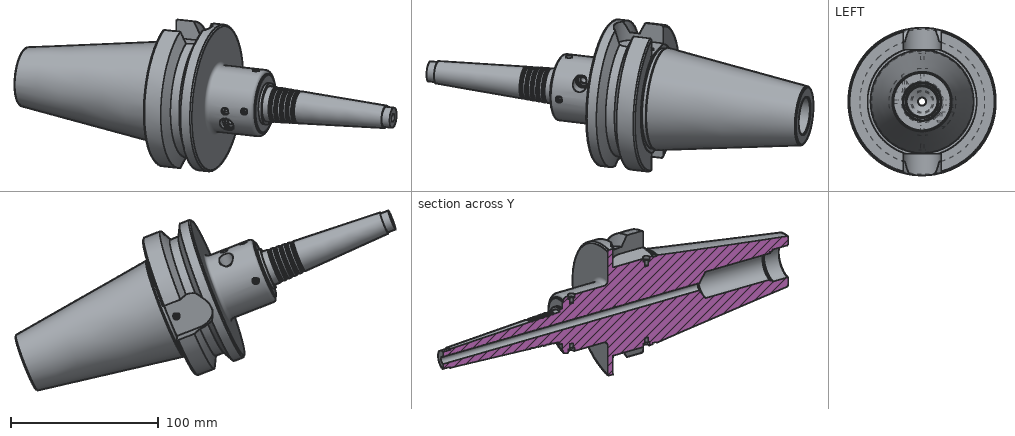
import cadquery as cq
import math


length = 266.8
gauge_x = 101.5
flange_start_x = 104.9
groove_start_x = 117.7
groove_end_x = 132.0
flange_end_x = 139.8
nose_end_x = 174.8
stem_start_x = 176.5
tip_start_x = 261.2

taper_ratio = 7 / 24
taper_small_d = 40.3
shank_end_chamfer = 0.8
taper_large_d = taper_small_d + taper_ratio * gauge_x
neck_d = 68.5
neck_chamfer_length = 0.8
boss_start_x = 104.5
boss_d = 74.0

flange_d = 100.0
flange_chamfer = 1.0
groove_root_d = 84.5
groove_flank_angle = 28
groove_flank_length = (flange_d - groove_root_d) / 2 * math.tan(math.radians(groove_flank_angle))

nose_d = 45.4
nose_root_fillet = 2.7
nose_end_fillet = 2.5
nose_end_chamfer = 0.8
nose_fillet_end_x = nose_end_x - nose_end_chamfer
collar_d = 28.3
tip_d = 14.0
stem_end_d = 15.5
stem_half_angle = 3
stem_slope = 2 * math.tan(math.radians(stem_half_angle))

ring_count = 5
ring_first_x = 182.2
ring_pitch = 4.0
ring_top_width = 2.5
ring_floor_width = 1.0
ring_depth = 0.4

mouth_d = 26.5
socket_d = 25.0
mouth_chamfer = (mouth_d - socket_d) / 2
socket_depth = 11.7
step_d = 22.5
step_chamfer = (socket_d - step_d) / 2
step_depth = 14.1
drill_d = 20.5
drill_depth = 64.0
drill_half_angle = 59
through_d = 5.3
drill_point_length = (drill_d - through_d) / 2 / math.tan(math.radians(drill_half_angle))

slot_width = 25.5
slot_floor_z = 35.2
slot_end_x = 135.3
slot_hole_x = 109.7
slot_hole_d = 4.5
slot_hole_depth = 2.7

nose_hole_count = 4
nose_hole_x = 167.5
nose_hole_d = 4.5
nose_hole_depth = 2.7

balance_x = 153.7
balance_z = 11.7
balance_d = 10.0
balance_floor_y = 13.3
balance_step_d = 7.5
balance_step_depth = 1.3
balance_inner_d = 4.5
balance_inner_depth = 2.7
side_hole_z = -1.3
side_hole_d = 5.0
side_hole_depth = 2.7

pilot_d = 2.32
pilot_depth = 4.0


def stem_d(x):
    """Stem diameter at a station on the axis."""
    return stem_end_d + (tip_start_x - x) * stem_slope


def revolve_about_x(outline):
    return outline.close().revolve(360, (0, 0, 0), (1, 0, 0))


def cylinder(start, direction, diameter, height):
    axis = cq.Vector(*direction)
    return cq.Workplane(cq.Solid.makeCylinder(diameter / 2, height, cq.Vector(*start), axis))


def piloted_hole(start, direction, diameter, depth):
    """Flat-bottomed hole with a narrow pilot hole below its floor."""
    hole = cylinder(start, direction, diameter, depth)
    return hole.union(cylinder(start, direction, pilot_d, depth + pilot_depth))


def turned_body():
    flange_r = flange_d / 2
    nose_r = nose_d / 2
    outline = (
        cq.Workplane("XY")
        .lineTo(0, taper_small_d / 2 - shank_end_chamfer)
        .lineTo(shank_end_chamfer, (taper_small_d + taper_ratio * shank_end_chamfer) / 2)
        .lineTo(gauge_x, taper_large_d / 2)
        .lineTo(gauge_x + neck_chamfer_length, neck_d / 2)
        .lineTo(boss_start_x, neck_d / 2)
        .lineTo(boss_start_x, boss_d / 2)
        .lineTo(flange_start_x, boss_d / 2)
        .lineTo(flange_start_x, flange_r - flange_chamfer)
        .lineTo(flange_start_x + flange_chamfer, flange_r)
        .lineTo(groove_start_x, flange_r)
        .lineTo(groove_start_x + groove_flank_length, groove_root_d / 2)
        .lineTo(groove_end_x - groove_flank_length, groove_root_d / 2)
        .lineTo(groove_end_x, flange_r)
        .lineTo(flange_end_x - flange_chamfer, flange_r)
        .lineTo(flange_end_x, flange_r - flange_chamfer)
        .lineTo(flange_end_x, nose_r + nose_root_fillet)
        .radiusArc((flange_end_x + nose_root_fillet, nose_r), -nose_root_fillet)
        .lineTo(nose_fillet_end_x - nose_end_fillet, nose_r)
        .radiusArc((nose_fillet_end_x, nose_r - nose_end_fillet), nose_end_fillet)
        .lineTo(nose_end_x, nose_r - nose_end_fillet - nose_end_chamfer)
        .lineTo(nose_end_x, collar_d / 2)
        .lineTo(stem_start_x, collar_d / 2)
        .lineTo(stem_start_x, stem_d(stem_start_x) / 2)
        .lineTo(tip_start_x, stem_end_d / 2)
        .lineTo(tip_start_x, tip_d / 2)
        .lineTo(length, tip_d / 2)
        .lineTo(length, 0)
    )
    return revolve_about_x(outline)


def stem_ring(x):
    """Trapezoid groove centred at x, cut from the stem surface inwards."""
    top_start_x = x - ring_top_width / 2
    top_end_x = x + ring_top_width / 2
    floor_r = stem_d(x) / 2 - ring_depth
    outline = (
        cq.Workplane("XY")
        .moveTo(top_start_x, collar_d / 2)
        .lineTo(top_start_x, stem_d(top_start_x) / 2)
        .lineTo(x - ring_floor_width / 2, floor_r)
        .lineTo(x + ring_floor_width / 2, floor_r)
        .lineTo(top_end_x, stem_d(top_end_x) / 2)
        .lineTo(top_end_x, collar_d / 2)
    )
    return revolve_about_x(outline)


def bore():
    outline = (
        cq.Workplane("XY")
        .lineTo(0, mouth_d / 2)
        .lineTo(mouth_chamfer, socket_d / 2)
        .lineTo(socket_depth, socket_d / 2)
        .lineTo(socket_depth + step_chamfer, step_d / 2)
        .lineTo(step_depth, step_d / 2)
        .lineTo(step_depth, drill_d / 2)
        .lineTo(drill_depth, drill_d / 2)
        .lineTo(drill_depth + drill_point_length, through_d / 2)
        .lineTo(length, through_d / 2)
        .lineTo(length, 0)
    )
    return revolve_about_x(outline)


def key_slot():
    """Round-ended slot on the +Z side, with a small hole below its floor."""
    end_center_x = slot_end_x - slot_width / 2
    slot = (
        cq.Workplane("XY", origin=(0, 0, slot_floor_z))
        .moveTo(gauge_x, -slot_width / 2)
        .lineTo(end_center_x, -slot_width / 2)
        .threePointArc((slot_end_x, 0), (end_center_x, slot_width / 2))
        .lineTo(gauge_x, slot_width / 2)
        .close()
        .extrude(flange_d / 2)
    )
    hole_start = (slot_hole_x, 0, slot_floor_z)
    return slot.union(piloted_hole(hole_start, (0, 0, -1), slot_hole_d, slot_hole_depth))


def nose_hole():
    return piloted_hole((nose_hole_x, 0, nose_d / 2), (0, 0, -1), nose_hole_d, nose_hole_depth)


def balance_hole():
    """Hole on the -Y side, below the axis, stepping down twice to a drill point."""
    toward_axis = (0, 1, 0)
    start = (balance_x, -nose_d / 2, -balance_z)
    floor = (balance_x, -balance_floor_y, -balance_z)
    point_y = -balance_floor_y + balance_inner_depth
    point_length = balance_inner_d / 2 / math.tan(math.radians(drill_half_angle))
    drill_point = cq.Solid.makeCone(
        balance_inner_d / 2,
        0,
        point_length,
        cq.Vector(balance_x, point_y, -balance_z),
        cq.Vector(*toward_axis),
    )
    hole = cylinder(start, toward_axis, balance_d, nose_d / 2 - balance_floor_y)
    hole = hole.union(cylinder(floor, toward_axis, balance_step_d, balance_step_depth))
    hole = hole.union(cylinder(floor, toward_axis, balance_inner_d, balance_inner_depth))
    return hole.union(cq.Workplane(drill_point))


def around_axis(shape, angle):
    return shape.rotate((0, 0, 0), (1, 0, 0), angle)


result = turned_body().cut(bore())

for index in range(ring_count):
    result = result.cut(stem_ring(ring_first_x + index * ring_pitch))

for angle in (0, 180):
    result = result.cut(around_axis(key_slot(), angle))
    result = result.cut(around_axis(balance_hole(), angle))

for index in range(nose_hole_count):
    result = result.cut(around_axis(nose_hole(), index * 360 / nose_hole_count))

side_hole_start = (balance_x, -nose_d / 2, side_hole_z)
result = result.cut(piloted_hole(side_hole_start, (0, 1, 0), side_hole_d, side_hole_depth))